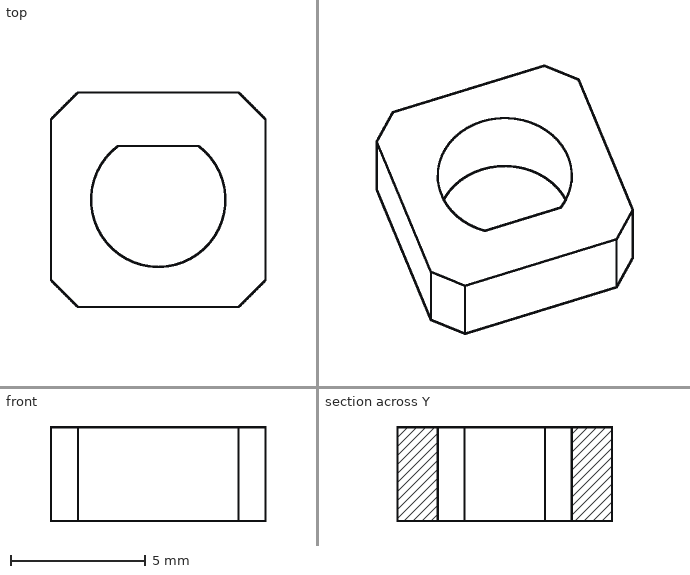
import cadquery as cq

side = 8.0
height = 3.5
corner_chamfer = 1.0
bore_diameter = 5.0
flat_offset = 2.0


def make_block():
    """Square block with chamfered vertical edges, standing on Z = 0."""
    block = cq.Workplane("XY").rect(side, side).extrude(height)
    return block.edges("|Z").chamfer(corner_chamfer)


def make_d_bore():
    """Through bore, cut off by a flat on its +Y side."""
    cylinder = cq.Workplane("XY").circle(bore_diameter / 2).extrude(height)
    beyond_flat = (
        cq.Workplane("XY")
        .center(0, flat_offset + bore_diameter / 2)
        .rect(bore_diameter, bore_diameter)
        .extrude(height)
    )
    return cylinder.cut(beyond_flat)


result = make_block().cut(make_d_bore())